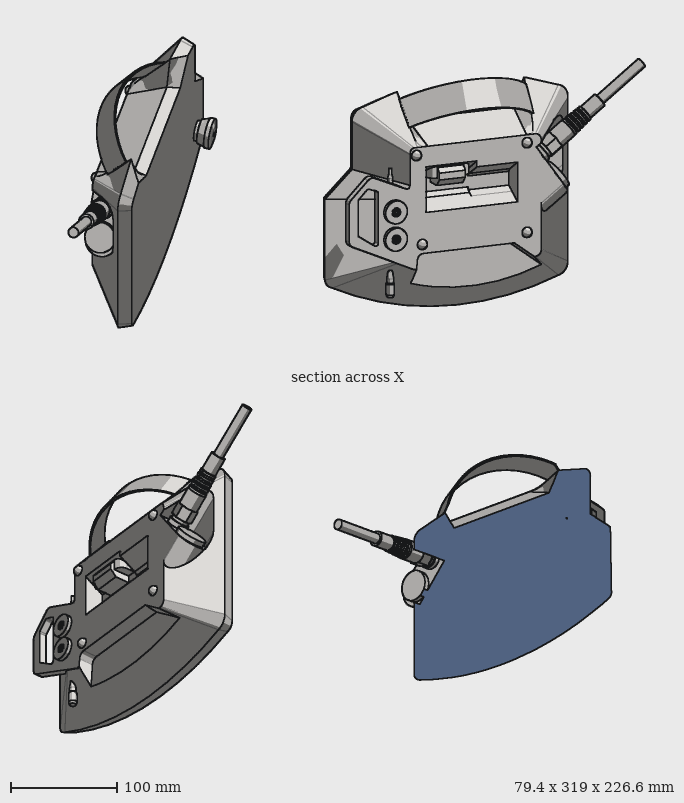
import cadquery as cq
import math


overall_length = 319.0
rim_x = 38.0
front_x = 50.5
front_taper = 20
rear_top = 55.2
rear_bottom = -63.8
rear_left = 69.2
rear_right = -66.0
rim_right = -111.0
rim_left = 140.0
rim_left_upper = 112.0
tab_top = 100.5
tab_y = 66.7
rim_bottom = -113.2


def prism(points, x_start, x_end):
    """Extrude a closed (Y, Z) outline along X."""
    return cq.Workplane("YZ").workplane(offset=x_start).polyline(points).close().extrude(x_end - x_start)


def slab(points, y_start, y_end):
    """Extrude a closed (X, Z) outline along Y."""
    return cq.Workplane("XZ", origin=(0, y_start, 0)).polyline(points).close().extrude(y_start - y_end)


def rod(x, y, z, diameter, length):
    """Cylinder along +X starting at the given point."""
    return cq.Workplane("YZ", origin=(x, y, z)).circle(diameter / 2).extrude(length)


def turned(profile, plane):
    """Revolve a (radius, axial) outline about the local vertical axis of a plane."""
    return cq.Workplane(plane).polyline(profile).close().revolve(360, (0, 0, 0), (0, 1, 0))


def rim_section(workplane):
    """Widest outline of the housing, with the handle tabs still joined."""
    return (
        workplane.moveTo(tab_y, tab_top)
        .lineTo(100.8, 89.5)
        .threePointArc((109.0, 85.0), (rim_left_upper, 76.5))
        .lineTo(rim_left_upper, 30.3)
        .lineTo(rim_left, 4.0)
        .lineTo(rim_left, -74.0)
        .threePointArc((138.0, -79.0), (133.0, -82.5))
        .threePointArc((6.5, rim_bottom), (-101.5, -95.7))
        .threePointArc((-108.8, -90.5), (rim_right, -83))
        .lineTo(rim_right, 76.5)
        .threePointArc((-108.5, 85.0), (-100.8, 89.5))
        .lineTo(-tab_y, tab_top)
        .close()
    )


def rear_section(workplane):
    """Rear outline with one segment for every segment of the rim outline."""
    return (
        workplane.moveTo(tab_y - 4.8, rear_top)
        .lineTo(65.0, rear_top)
        .threePointArc((68.3, 53.3), (rear_left, 49.0))
        .lineTo(rear_left, 19)
        .lineTo(75.0, 6.5)
        .lineTo(81.5, -53.0)
        .threePointArc((81.3, -54.0), (80.5, -54.5))
        .threePointArc((6.5, -75.3), (-59.5, rear_bottom))
        .threePointArc((-64.5, -62.2), (rear_right, -57.5))
        .lineTo(rear_right, 49.0)
        .threePointArc((-64.0, 53.5), (-59.5, rear_top))
        .lineTo(-54.2, rear_top)
        .close()
    )


shell = rim_section(rear_section(cq.Workplane("YZ")).workplane(offset=rim_x)).loft(ruled=True)
front_panel = rim_section(cq.Workplane("YZ").workplane(offset=rim_x))
front_panel = front_panel.extrude(front_x - rim_x, taper=front_taper)
body = shell.union(front_panel)

gap_bottom = 72.7
clear_z = 127.5


def gap_section(floor_half, floor_z, top_half, top_z):
    """Symmetric (Y, Z) section: sloping sides up to the tab tops, then straight up."""
    half = [(floor_half, floor_z), (top_half, top_z), (top_half, clear_z)]
    return half + [(-y, z) for y, z in reversed(half)]


gap_rear = gap_section(51.0, rear_top, 62.8, rear_top + 0.5)
gap_rim = gap_section(55.0, gap_bottom, 65.5, tab_top)
gap_panel = gap_section(57.5, gap_bottom, 84.5, 91.0)
gap_back = (
    cq.Workplane("YZ").polyline(gap_rear).close()
    .workplane(offset=rim_x).polyline(gap_rim).close().loft(ruled=True)
)
gap_front = (
    cq.Workplane("YZ").workplane(offset=rim_x).polyline(gap_rim).close()
    .workplane(offset=front_x - rim_x).polyline(gap_panel).close().loft(ruled=True)
)
body = body.cut(gap_back).cut(gap_front)

bracket_thickness = 8.0
bracket_corner_radius = 6.5
bracket_outline = [
    (32, 16), (73.5, 16), (109.7, 31.5), (132.0, 9.5), (132.0, -33.2), (64.8, -63.5), (32, -44.5),
]
grip_outline = [(122.8, 10.5), (113.0, 20.5), (102, 16.5), (102, -38.3), (122.8, -24.5)]
bracket = prism(bracket_outline, 0, bracket_thickness)
for y, z in bracket_outline[1:5]:
    corner = cq.NearestToPointSelector((bracket_thickness / 2, y, z))
    bracket = bracket.edges(corner).fillet(bracket_corner_radius)
grip = prism(grip_outline, -3.2, bracket_thickness).edges("|X").fillet(2.5)
body = body.union(bracket).cut(grip)

recess_depth = 14.0
recess_draft = 7
recess_corner = (61.2, -48.5)
recess_corner_radius = 6.5
recess_outline = [(66.0, -105.3), recess_corner, (-38.3, recess_corner[1]), (-79.0, -79.0), (-79.0, -105.3)]
recess = cq.Workplane("YZ").polyline(recess_outline).close().extrude(recess_depth, taper=recess_draft)
rounded_edge = cq.NearestToPointSelector((recess_depth / 2, *recess_corner))
recess = recess.edges(rounded_edge).fillet(recess_corner_radius)
body = body.cut(recess)

cable_angle = 36.0
seat_length = 62.5
seat_depth = 31.0
seat_radius = seat_depth / 2
seat_origin = (0, -61.2, 42.0)
cable_cos = math.cos(math.radians(cable_angle))
cable_sin = math.sin(math.radians(cable_angle))
seat_plane = cq.Plane(
    origin=seat_origin, xDir=(0, -cable_sin, -cable_cos), normal=(0, -cable_cos, cable_sin)
)


def seat_solid(length):
    """Rounded trough as wide as the seat; the flat part reaches the rear face."""
    diagonal = seat_radius * math.sqrt(0.5)
    return (
        cq.Workplane(seat_plane)
        .moveTo(0, 0)
        .lineTo(seat_length - seat_radius, 0)
        .threePointArc((seat_length, seat_radius), (seat_length - seat_radius, seat_depth))
        .lineTo(seat_radius, seat_depth)
        .threePointArc((seat_radius - diagonal, seat_radius + diagonal), (0, seat_radius))
        .close()
        .extrude(length)
    )


seat_block_length = 51
pocket_length = 95.7
body = body.union(seat_solid(-seat_block_length))
body = body.cut(seat_solid(pocket_length))

plug_position = 13.7
plug_x = 13.5
cable_diameter = 10.0
cable_end_y = rim_left - overall_length + cable_diameter / 2 * cable_sin
cable_length = (seat_origin[1] - plug_position * cable_sin - cable_end_y) / cable_cos
rib_start = 38.0
rib_pitch = 4.8
rib_count = 5
rib_length = 2.5
first_rib_diameter = 18.5
rib_diameter_step = 0.5
cable_start = 76.5
cap_position = 43.5
cap_diameter = 29.5
cap_height = 5.0
overlap = 3.2


def seat_cylinder(along, x, start, length, diameter):
    """Cylinder standing on the seat, at a distance along it and a height above it."""
    base = cq.Workplane(seat_plane).workplane(offset=start).center(along, x)
    return base.circle(diameter / 2).extrude(length)


plug_steps = [
    (-overlap, 8.3, 19.8),
    (4.8, 4.0, 17.2),
    (21.0, rib_start - 21.0, 18.8),
    (rib_start, 24.2, 12.8),
    (60.0, 18.2, 14.5),
    (cable_start, cable_length - cable_start, cable_diameter),
]
for start, length, diameter in plug_steps:
    body = body.union(seat_cylinder(plug_position, plug_x, start, length, diameter))
nut_start = 8.5
nut_length = 12.8
nut_across_corners = 21.0
hex_nut = (
    cq.Workplane(seat_plane).workplane(offset=nut_start).center(plug_position, plug_x)
    .polygon(6, nut_across_corners).extrude(nut_length)
)
body = body.union(hex_nut)
for i in range(rib_count):
    diameter = first_rib_diameter - i * rib_diameter_step
    rib = seat_cylinder(plug_position, plug_x, rib_start + i * rib_pitch, rib_length, diameter)
    body = body.union(rib)
cap = seat_cylinder(cap_position, cap_diameter / 2, -overlap, overlap + cap_height, cap_diameter)
body = body.union(cap)

handle_tilt = math.radians(55)
handle_width = 30.0
handle_thickness = 2.0
handle_rise = 32.0
handle_half_span = 65.7
handle_base = (32.5, 0, 95.0)
handle_plane = cq.Plane(
    origin=handle_base,
    xDir=(0, -1, 0),
    normal=(-math.cos(handle_tilt), 0, -math.sin(handle_tilt)),
)
handle = (
    cq.Workplane(handle_plane)
    .moveTo(-handle_half_span, 0)
    .threePointArc((0, handle_rise), (handle_half_span, 0))
    .lineTo(handle_half_span, -handle_thickness)
    .threePointArc((0, handle_rise - handle_thickness), (-handle_half_span, -handle_thickness))
    .close()
    .extrude(handle_width)
)
body = body.union(handle)

window_left = 52.5
window_middle = 0.3
window_right = -41.8
window_bottom = -9.0
window_depth = 20.0
sill_slope = 0.57


def window_section(sill_depth, rear_sill_z, ceiling):
    """(X, Z) section: sloping sill, a short steeper rise to the back wall, then the ceiling."""
    sill = [(0, window_bottom), (sill_depth, window_bottom + sill_slope * sill_depth)]
    return sill + [(window_depth, rear_sill_z)] + ceiling


left_window = window_section(17.0, 5.5, [(window_depth, 23.0), (0, 35.5)])
right_window = window_section(13.0, 2.5, [(window_depth, 16), (17.5, 19), (0, 29.7)])
body = body.cut(slab(left_window, window_middle, window_left))
body = body.cut(slab(right_window, window_right, window_middle))

socket_back = window_depth + 1.5
socket_middle_y = 26.0
socket_body = [(socket_back, 35.5), (6.5, 35.5), (-1.3, 28.0), (-1.3, 21.5), (4.8, 14.7), (socket_back, 14.7)]
socket_half_width = 13.5
flange_depth = 18.5
flange_width = 44.0
flange_height = 13.0
flange_bottom = 22.3
socket_flange = (
    cq.Workplane("XY", origin=(socket_back - flange_depth / 2, socket_middle_y, flange_bottom))
    .box(flange_depth, flange_width, flange_height, centered=(True, True, False))
    .edges("|Z and <X")
    .fillet(8.0)
)
socket = slab(socket_body, socket_middle_y - socket_half_width, socket_middle_y + socket_half_width)
body = body.union(socket).union(socket_flange)

screw_radius = 4.95
screw_centers = [(62.8, 47.5), (-51.5, 47.5), (56.8, -39.5), (-51.5, -39.5)]
for y, z in screw_centers:
    body = body.union(cq.Workplane("XY", origin=(0, y, z)).sphere(screw_radius))

button_y = 85.2
button_height = 4.0
button_diameter = 22.3
button_groove_depth = 1.5
for z in (-4.5, -31.0):
    body = body.union(rod(-button_height, button_y, z, button_diameter, button_height + overlap))
    groove_outer = rod(-button_height, button_y, z, 8.3, button_groove_depth)
    groove_inner = rod(-button_height, button_y, z, 5.7, button_groove_depth)
    center_hole = rod(-button_height, button_y, z, 3.2, button_groove_depth)
    body = body.cut(groove_outer.cut(groove_inner)).cut(center_hole)

pin_profile = [
    (0, -90.0), (3.0, -90.0), (4.0, -87.5), (4.0, -77.2), (3.2, -76.0), (3.2, -71.5), (2.4, -65.0),
    (2.4, 26.0), (1.5, 29.5), (1.5, 34.8), (0, 34.8),
]
pin_plane = cq.Plane(origin=(10.2, button_y, 0), xDir=(1, 0, 0), normal=(0, -1, 0))
body = body.union(turned(pin_profile, pin_plane))

knob_profile = [
    (0, -1.5), (10.0, -1.5), (10.0, 3.5), (11.8, 3.5), (14.0, 11.2),
    (14.7, 11.2), (14.7, 15.5), (8.3, 17.2), (2.0, 17.2), (2.0, 18.0), (0, 18.0),
]
knob_plane = cq.Plane(origin=(front_x, 112.0, -46.0), xDir=(0, 1, 0), normal=(0, 0, -1))
body = body.union(turned(knob_profile, knob_plane))

result = body